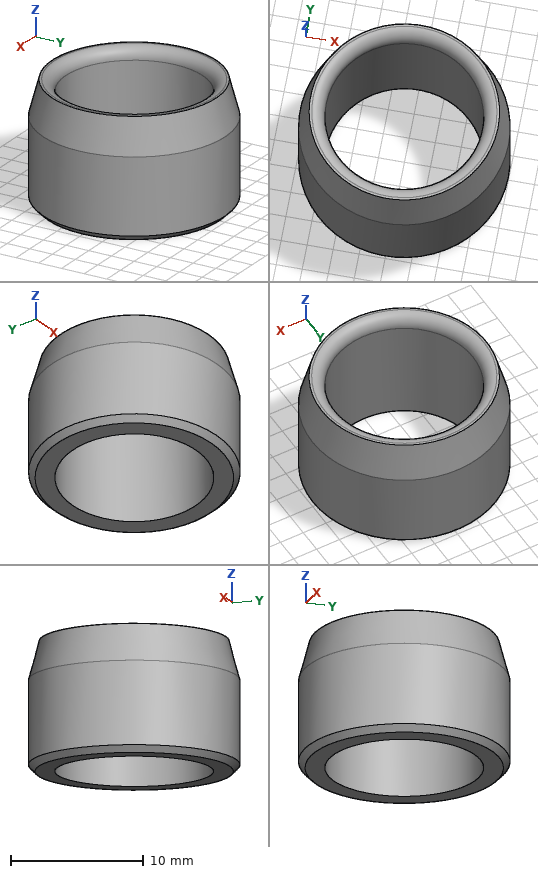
import cadquery as cq
import math

outer_diameter = 16.0
bore_diameter = 12.0
height = 10.0

outer_radius = outer_diameter / 2
wall = (outer_diameter - bore_diameter) / 2
taper_height = 1.5 * wall
mouth_radius = wall / 2
base_chamfer = wall / 4

taper_angle = 15.0
top_radius = outer_radius - taper_height * math.tan(math.radians(taper_angle))


def make_body():
    """Solid of revolution: chamfered base, straight wall and tapered nose."""
    profile = (
        cq.Workplane("XZ")
        .lineTo(outer_radius - base_chamfer, 0)
        .lineTo(outer_radius, base_chamfer)
        .lineTo(outer_radius, height - taper_height)
        .lineTo(top_radius, height)
        .lineTo(0, height)
        .close()
    )
    return profile.revolve(360, (0, 0, 0), (0, 1, 0))


def cut_bore(body):
    """Cut the through bore and round its upper mouth."""
    bored = body.faces("<Z").workplane().hole(bore_diameter)
    smallest_circle = cq.selectors.RadiusNthSelector(0)
    return bored.faces(">Z").edges(smallest_circle).fillet(mouth_radius)


result = cut_bore(make_body())